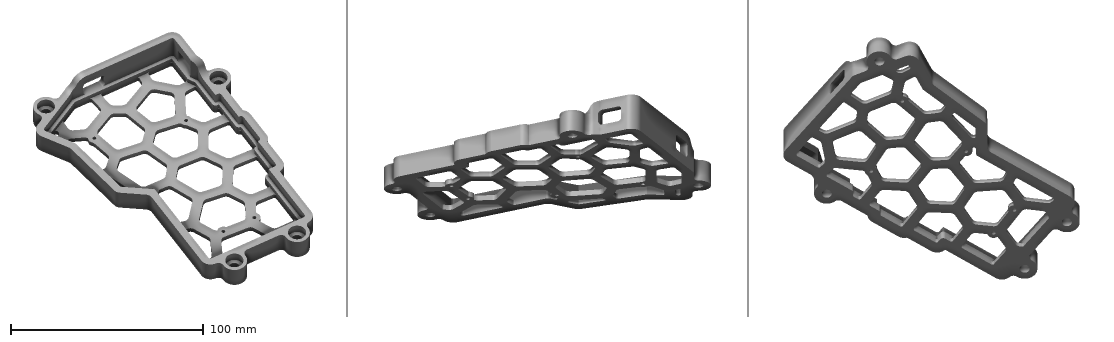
import cadquery as cq
import math

floor_top = 2.8
ledge_top = 5.5
low_wall_top = 11.8
high_wall_top = 19.5
edge_tolerance = 0.002
cut_margin = 1.5

wall = 4.2
ledge_width = 1.9
pocket_corner_radius = 1.4
outline_size = 154.7
waist_blend_radius = 4.0

pocket_left = 5.1
pocket_right = 140.8
pocket_bottom = 32.8
pocket_back = 91.0
step_1_end = 44.7
step_2_end = 102.9
step_3_start = 63.9
step_3_end = 83.4
waist_corner_right = (84.6, pocket_bottom)
waist_corner_left = (36.5, 13.5)
front_tip = (19.8, 3.5)
back_step_1 = 93.1
back_step_2 = 95.9
back_step_3 = 97.9

pocket_points = [
    (pocket_left, pocket_back),
    (22.9, pocket_back),
    (26.8, back_step_1),
    (step_1_end, back_step_1),
    (step_1_end, back_step_2),
    (step_3_start, back_step_2),
    (step_3_start, back_step_3),
    (step_3_end, back_step_3),
    (step_3_end, back_step_2),
    (step_2_end, back_step_2),
    (step_2_end, pocket_back),
    (pocket_right, pocket_back),
    (pocket_right, pocket_bottom),
    waist_corner_right,
    (74.1, 18.4),
    waist_corner_left,
    front_tip,
    (pocket_left, 30.0),
]
rounded_corners = [
    (pocket_left, pocket_back),
    (step_1_end, back_step_2),
    (step_3_start, back_step_3),
    (step_3_end, back_step_3),
    (step_2_end, back_step_2),
    (pocket_right, pocket_back),
    (pocket_right, pocket_bottom),
    front_tip,
]

boss_radius = 6.7
boss_blend_radius = 2.8
screw_diameter = 5.3
head_diameter = 9.5
head_depth = 5.0
boss_centers = [
    (35.3, 100.5),
    (148.0, 81.4),
    (148.0, 43.5),
    (6.7, 13.1),
]

ramp_length = 12.4
back_ramp_start = 20.5
left_ramp_start = 38.5
slot_length = 13.1
slot_height = 8.4
slot_bottom = ledge_top
slot_corner_radius = 1.9
left_slot_center = 43.2
back_slot_center = 16.1

rib_width = 5.5
cell_corner_radius = 3.0
cut_corner_radius = 1.1
pin_diameter = 2.0
pin_pad_radius = 3.2
pin_centers = [
    (45.3, 75.0),
    (31.5, 27.7),
    (78.0, 35.6),
    (121.1, 71.5),
    (121.1, 52.7),
]
cell_seeds = [
    (10.4, 86.3), (39.9, 88.2), (68.7, 87.2), (96.2, 86.2), (123.1, 85.2),
    (29.0, 67.8), (54.6, 64.2), (81.4, 62.8), (109.2, 59.2), (135.4, 57.7),
    (8.0, 57.0), (34.7, 42.0), (62.2, 38.7), (91.1, 38.2), (121.7, 30.6),
    (10.7, 29.5), (39.8, 16.2), (69.9, 14.5), (9.5, 4.3),
]
solid_seeds = [(149.0, 85.2), (152.7, 37.0)]


def prism(points, height):
    return cq.Workplane("XY").polyline(points).close().extrude(height)


def vertical_edges_near(body, places, reach):
    """Pick the vertical edges of a body that stand within reach of the given places."""
    edges = []
    for edge in body.edges("|Z").vals():
        center = edge.Center()
        if any(math.hypot(center.x - x, center.y - y) < reach for x, y in places):
            edges.append(edge)
    return body.newObject(edges)


def pocket_prism(offset, height):
    """The pocket outline grown by an offset (shrunk if negative) and extruded."""
    sharp = prism(pocket_points, height)
    rounded = vertical_edges_near(sharp, rounded_corners, edge_tolerance).fillet(pocket_corner_radius)
    if offset == 0:
        return rounded
    outline = rounded.faces("<Z").wires().val()
    return cq.Workplane(obj=outline).toPending().offset2D(offset).extrude(height)


def blend_bosses(body):
    """Round the inner corners where the bosses leave the wall."""
    corners = []
    for edge in body.edges("|Z").vals():
        place = edge.Center()
        for x, y in boss_centers:
            if abs(math.hypot(place.x - x, place.y - y) - boss_radius) < edge_tolerance:
                corners.append(edge)
    return body.newObject(corners).fillet(boss_blend_radius)


def wall_drop(plane, high_end, ramp_start, low_end):
    """A broad body under a line that runs high, drops along a double arc and runs low."""
    run = math.copysign(ramp_length, low_end - high_end)
    middle_height = (high_wall_top + low_wall_top) / 2
    return (
        cq.Workplane(plane)
        .moveTo(high_end, 0)
        .lineTo(high_end, high_wall_top)
        .lineTo(ramp_start, high_wall_top)
        .tangentArcPoint((ramp_start + run / 2, middle_height), relative=False)
        .tangentArcPoint((ramp_start + run, low_wall_top), relative=False)
        .lineTo(low_end, low_wall_top)
        .lineTo(low_end, 0)
        .close()
        .extrude(outline_size + cut_margin, both=True)
    )


def slot(plane, center, start, end):
    """A rounded cable slot along the plane's normal."""
    return (
        cq.Workplane(plane)
        .workplane(offset=start)
        .center(center, slot_bottom + slot_height / 2)
        .sketch()
        .rect(slot_length, slot_height)
        .vertices()
        .fillet(slot_corner_radius)
        .finalize()
        .extrude(end - start)
    )


def keep_closer_side(points, seed, other, inset):
    """Clip a polygon to the points nearer one seed than another, less an inset."""
    across_x = other[0] - seed[0]
    across_y = other[1] - seed[1]
    distance = math.hypot(across_x, across_y)

    def excess(point):
        along = (point[0] - seed[0]) * across_x + (point[1] - seed[1]) * across_y
        return along / distance - (distance / 2 - inset)

    kept = []
    for start, end in zip(points, points[1:] + points[:1]):
        start_excess = excess(start)
        end_excess = excess(end)
        if start_excess <= 0:
            kept.append(start)
        if start_excess * end_excess < 0:
            part = start_excess / (start_excess - end_excess)
            kept.append((start[0] + part * (end[0] - start[0]), start[1] + part * (end[1] - start[1])))
    return kept


def floor_cell(seed):
    """One rounded opening of the lattice around its seed."""
    x, y = seed
    reach = outline_size
    points = [(x - reach, y - reach), (x + reach, y - reach), (x + reach, y + reach), (x - reach, y + reach)]
    for other in cell_seeds + solid_seeds:
        if other != seed:
            points = keep_closer_side(points, seed, other, rib_width / 2 + cell_corner_radius)
    return cq.Workplane("XY").polyline(points).close().offset2D(cell_corner_radius).extrude(floor_top)


def floor_openings():
    """All lattice openings, bounded by the ledge and leaving a pad around every pin hole."""
    field = pocket_prism(-ledge_width, floor_top)
    pads = cq.Workplane("XY").pushPoints(pin_centers).circle(pin_pad_radius).extrude(floor_top)
    openings = cq.Workplane("XY")
    for seed in cell_seeds:
        cell = floor_cell(seed).intersect(field)
        outline = cell.faces("<Z").wires().val()
        cell = (
            cq.Workplane(obj=outline)
            .toPending()
            .offset2D(-cut_corner_radius)
            .offset2D(cut_corner_radius)
            .extrude(floor_top)
        )
        openings = openings.add(cell.cut(pads))
    return openings.combine()


low_body = pocket_prism(wall, low_wall_top).union(
    cq.Workplane("XY").pushPoints(boss_centers).circle(boss_radius).extrude(low_wall_top)
)
web = prism(
    [
        (boss_centers[0][0], back_step_1),
        (step_1_end + wall, back_step_1),
        (step_1_end + wall, back_step_2 + wall),
        (boss_centers[0][0], back_step_2 + wall),
    ],
    low_wall_top,
)
low_body = low_body.union(web)
high_body = (
    pocket_prism(wall, high_wall_top)
    .intersect(wall_drop("XZ", -cut_margin, back_ramp_start, outline_size + cut_margin))
    .intersect(wall_drop("YZ", outline_size, left_ramp_start, -cut_margin))
)
low_body = blend_bosses(low_body)
waist_edges = vertical_edges_near(low_body, [waist_corner_left, waist_corner_right], 1.2 * wall)
low_body = waist_edges.fillet(waist_blend_radius)
tray = low_body.union(high_body)

tray = tray.cut(pocket_prism(0, high_wall_top).translate((0, 0, ledge_top)))
tray = tray.cut(pocket_prism(-ledge_width, high_wall_top).translate((0, 0, floor_top)))

tray = tray.cut(cq.Workplane("XY").pushPoints(boss_centers).circle(screw_diameter / 2).extrude(low_wall_top))
tray = tray.cut(
    cq.Workplane("XY", origin=(0, 0, low_wall_top - head_depth))
    .pushPoints(boss_centers)
    .circle(head_diameter / 2)
    .extrude(high_wall_top)
)

tray = tray.cut(slot("YZ", left_slot_center, -cut_margin, pocket_left))
tray = tray.cut(slot("XZ", back_slot_center, -pocket_back - wall - boss_radius, -pocket_back))

tray = tray.cut(floor_openings())
result = tray.cut(cq.Workplane("XY").pushPoints(pin_centers).circle(pin_diameter / 2).extrude(floor_top))